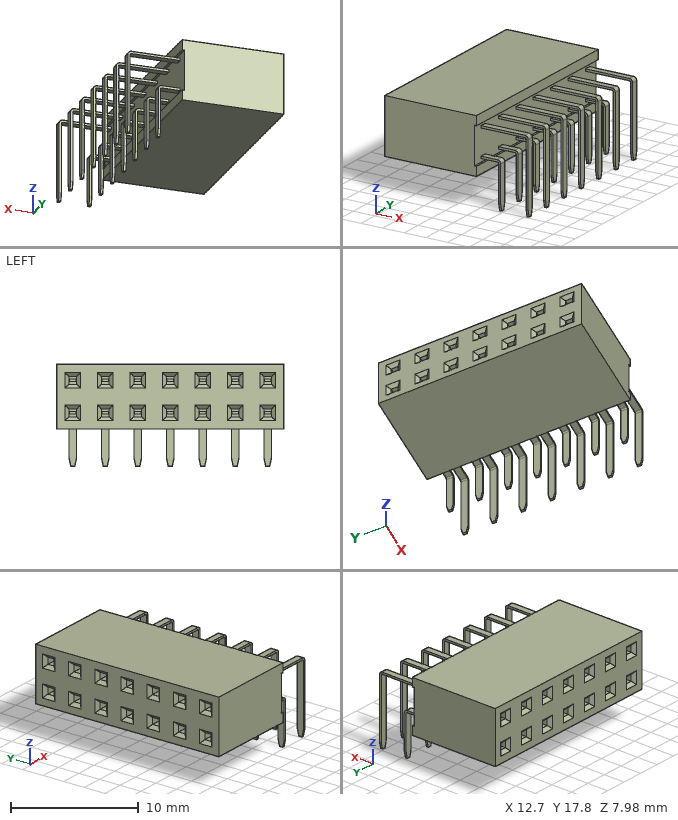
import cadquery as cq

ROWS = 2
COLUMNS = 7
BODY_WIDTH = 17.78
PITCH = BODY_WIDTH / COLUMNS

OVERALL_LENGTH = 12.68
OVERALL_HEIGHT = 7.98

BODY_LENGTH = 8.5
BODY_HEIGHT = ROWS * PITCH
RECESS_DEPTH = 0.2
RECESS_HEIGHT = 3.38

FUNNEL_MOUTH = 1.21
BORE_SIDE = 0.6
FUNNEL_DEPTH = (FUNNEL_MOUTH - BORE_SIDE) / 2
BORE_END = 6.0

BLADE_WIDTH = 0.5
BLADE_LENGTH = 1.0

PIN_THICKNESS = 0.2
PIN_WIDTH = 0.6
BEND_OUTER_RADIUS = 0.3
BEND_INNER_RADIUS = BEND_OUTER_RADIUS - PIN_THICKNESS
TIP_LENGTH = 0.64
TIP_WIDTH = 0.32

PIN_BOTTOM = BODY_HEIGHT / 2 - OVERALL_HEIGHT


def centred_positions(count):
    """Return evenly pitched positions centred on zero."""
    return [(index - (count - 1) / 2) * PITCH for index in range(count)]


ROW_HEIGHTS = centred_positions(ROWS)
COLUMN_PLACES = centred_positions(COLUMNS)


def make_body():
    """Rectangular block with a shallow channel across its rear face."""
    block = cq.Workplane("XY").box(BODY_LENGTH, BODY_WIDTH, BODY_HEIGHT, centered=(False, True, True))
    channel = (
        cq.Workplane("XY")
        .box(RECESS_DEPTH, BODY_WIDTH, RECESS_HEIGHT, centered=(False, True, True))
        .translate((BODY_LENGTH - RECESS_DEPTH, 0, 0))
    )
    return block.cut(channel)


def make_socket(y, z):
    """Void of one socket: tapered funnel and blind square bore."""
    funnel = (
        cq.Workplane("YZ")
        .center(y, z)
        .rect(FUNNEL_MOUTH, FUNNEL_MOUTH)
        .workplane(offset=FUNNEL_DEPTH)
        .rect(BORE_SIDE, BORE_SIDE)
        .loft(ruled=True)
    )
    bore = (
        cq.Workplane("YZ", origin=(FUNNEL_DEPTH, y, z))
        .rect(BORE_SIDE, BORE_SIDE)
        .extrude(BORE_END - FUNNEL_DEPTH)
    )
    return funnel.union(bore)


def make_blade(y, z):
    """Contact strip inside one bore, clear of all four bore walls."""
    return (
        cq.Workplane("YZ", origin=(BORE_END, y, z))
        .rect(BLADE_WIDTH, PIN_THICKNESS)
        .extrude(-BLADE_LENGTH)
    )


def make_pin(y, z, leg_outer_x):
    """Bent strip running from the bore floor to the tapered solder tip."""
    top = z + PIN_THICKNESS / 2
    bottom = z - PIN_THICKNESS / 2
    leg_inner_x = leg_outer_x - PIN_THICKNESS
    bend_x = leg_outer_x - BEND_OUTER_RADIUS
    bend_z = top - BEND_OUTER_RADIUS
    strip = (
        cq.Workplane("XZ", origin=(0, y, 0))
        .moveTo(BORE_END, top)
        .lineTo(bend_x, top)
        .radiusArc((leg_outer_x, bend_z), BEND_OUTER_RADIUS)
        .lineTo(leg_outer_x, PIN_BOTTOM)
        .lineTo(leg_inner_x, PIN_BOTTOM)
        .lineTo(leg_inner_x, bend_z)
        .radiusArc((bend_x, bottom), -BEND_INNER_RADIUS)
        .lineTo(BORE_END, bottom)
        .close()
        .extrude(PIN_WIDTH / 2, both=True)
    )
    for side in (-1, 1):
        edge_y = side * PIN_WIDTH / 2
        tip_y = side * TIP_WIDTH / 2
        tip_corner = (
            cq.Workplane("YZ", origin=(leg_inner_x, y, PIN_BOTTOM))
            .polyline([(edge_y, 0), (tip_y, 0), (edge_y, TIP_LENGTH)])
            .close()
            .extrude(PIN_THICKNESS)
        )
        strip = strip.cut(tip_corner)
    return strip


result = make_body()
for row_z in ROW_HEIGHTS:
    leg_x = OVERALL_LENGTH - (ROW_HEIGHTS[-1] - row_z)
    for column_y in COLUMN_PLACES:
        result = result.cut(make_socket(column_y, row_z))
        result = result.union(make_blade(column_y, row_z))
        result = result.union(make_pin(column_y, row_z, leg_x))